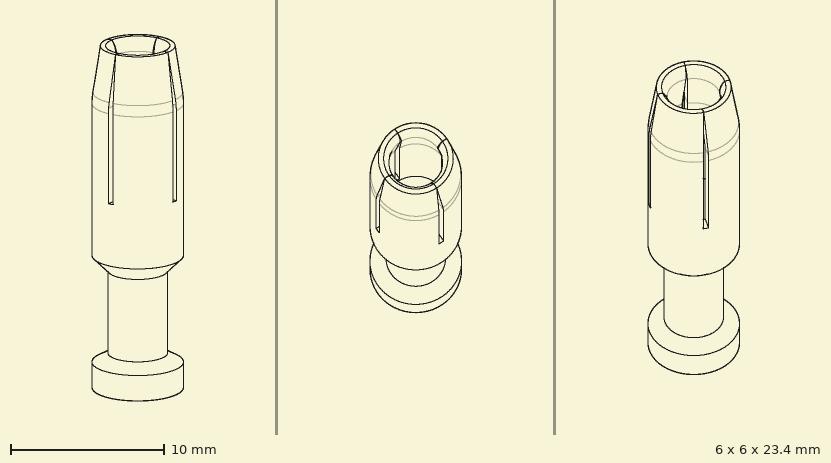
import cadquery as cq
import math

body_radius = 3.0
stem_radius = 1.95
total_height = 23.4

flange_edge_height = 1.75
flange_slope = math.radians(30)
flange_top = flange_edge_height + (body_radius - stem_radius) * math.tan(flange_slope)

shoulder_bottom = 8.0
shoulder_top = shoulder_bottom + (body_radius - stem_radius)

nose_radius = 2.45
nose_corner_height = 19.84
bend_radius = 4.9
nose_angle = math.atan((body_radius - nose_radius) / (total_height - nose_corner_height))
bend_start = nose_corner_height - bend_radius * math.tan(nose_angle / 2)

entry_radius = 2.1
throat_radius = 1.75
entry_depth = 0.94
throat_height = total_height - entry_depth
bore_radius = throat_radius + (throat_height - nose_corner_height) * math.tan(nose_angle)
bore_floor = 13.0
drill_half_angle = math.radians(59)
bore_tip = bore_floor - bore_radius / math.tan(drill_half_angle)

slot_width = 0.36
slot_tip_width = 0.01
slot_bottom = 13.3


def outer_body():
    """Solid of revolution bounded by the outer profile."""
    bend_mid_x = body_radius - bend_radius * (1 - math.cos(nose_angle / 2))
    bend_mid_z = bend_start + bend_radius * math.sin(nose_angle / 2)
    bend_end_x = body_radius - bend_radius * (1 - math.cos(nose_angle))
    bend_end_z = bend_start + bend_radius * math.sin(nose_angle)
    profile = (
        cq.Workplane("XZ")
        .lineTo(body_radius, 0)
        .lineTo(body_radius, flange_edge_height)
        .lineTo(stem_radius, flange_top)
        .lineTo(stem_radius, shoulder_bottom)
        .lineTo(body_radius, shoulder_top)
        .lineTo(body_radius, bend_start)
        .threePointArc((bend_mid_x, bend_mid_z), (bend_end_x, bend_end_z))
        .lineTo(nose_radius, total_height)
        .lineTo(0, total_height)
        .close()
    )
    return profile.revolve(360, (0, 0, 0), (0, 1, 0))


def socket_bore():
    """Bore volume; its entry arc meets the throat parallel to the axis."""
    entry_step = entry_radius - throat_radius
    arc_radius = (entry_depth**2 + entry_step**2) / (2 * entry_step)
    arc_half_angle = math.atan(entry_step / entry_depth)
    arc_mid = (
        throat_radius + arc_radius * (1 - math.cos(arc_half_angle)),
        throat_height + arc_radius * math.sin(arc_half_angle),
    )
    profile = (
        cq.Workplane("XZ")
        .moveTo(0, bore_tip)
        .lineTo(bore_radius, bore_floor)
        .lineTo(bore_radius, nose_corner_height)
        .lineTo(throat_radius, throat_height)
        .threePointArc(arc_mid, (entry_radius, total_height))
        .lineTo(0, total_height)
        .close()
    )
    return profile.revolve(360, (0, 0, 0), (0, 1, 0))


def prong_slot(plane):
    """Slot through the full diameter, narrowing along the nose."""
    profile = [
        (-slot_width / 2, slot_bottom),
        (slot_width / 2, slot_bottom),
        (slot_width / 2, nose_corner_height),
        (slot_tip_width / 2, total_height),
        (-slot_tip_width / 2, total_height),
        (-slot_width / 2, nose_corner_height),
    ]
    return cq.Workplane(plane).polyline(profile).close().extrude(2 * body_radius, both=True)


result = outer_body().cut(socket_bore())
for slot_plane in ("XZ", "YZ"):
    result = result.cut(prong_slot(slot_plane))